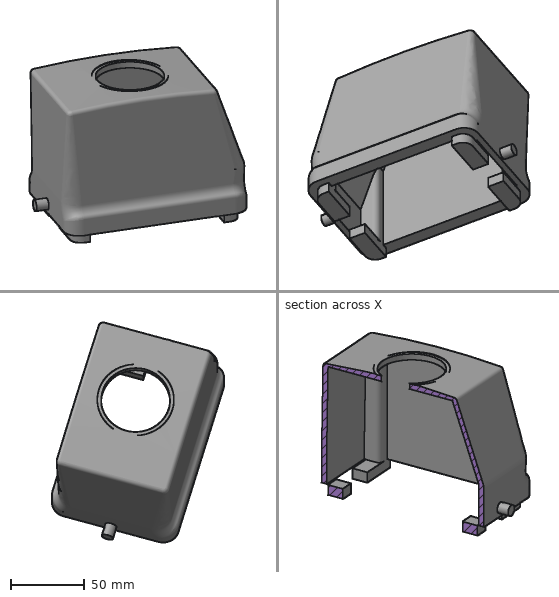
import cadquery as cq
import math

RIM_BOTTOM = 8.0
RIM_BLEND_TOP = 28.2
SLOPE_START = 39.0
APEX = 102.0

RIM_WIDTH = 90.0
BODY_WIDTH = 80.1
RIM_LENGTH = 132.3
FRONT_LEAN = 0.017
BACK_LEAN = 0.37

RIM_CORNER_RADIUS = 11.1
ROOF_CORNER_RADIUS = 2.8

RIM_BLEND_RADIUS = 6.3
RIM_EDGE_RADIUS = 3.0
SLOPE_BLEND_RADIUS = 9.0
ROOF_EDGE_RADIUS = 2.7
DOME_RADIUS = 600.0

ENTRY_Y = -5.8
ENTRY_DIAMETER = 47.1
SEAT_DIAMETER = 52.5
SEAT_DEPTH = 0.51

WALL = 4.5
POST_WIDTH = 8.4
POST_CORNER_RADIUS = 3.9

FEET_LENGTH = 121.5
FEET_WIDTH = 79.2
FOOT_GAP = 20.7
FOOT_DEPTH = 12.2
FOOT_CORNER_RADIUS = 8.1
PIN_DIAMETER = 8.1
PIN_SPAN = 150.0
PIN_HEIGHT = 14.5

PICK_MARGIN = 0.2

BODY_TOP = APEX + 1.5
CAVITY_TOP = APEX - SEAT_DEPTH - WALL
POST_FACE_Y = FEET_LENGTH / 2 - FOOT_DEPTH


def front_y(z):
    """Y of the front wall at height z of the upper body."""
    return -RIM_LENGTH / 2 + FRONT_LEAN * (z - RIM_BLEND_TOP)


def back_y(z):
    """Y of the back wall at height z, upright at first and then sloping."""
    return RIM_LENGTH / 2 - BACK_LEAN * max(z - SLOPE_START, 0)


def corner_radius(z):
    """Radius of the body's vertical corners at height z."""
    rise = (z - RIM_BLEND_TOP) / (APEX - RIM_BLEND_TOP)
    return RIM_CORNER_RADIUS + rise * (ROOF_CORNER_RADIUS - RIM_CORNER_RADIUS)


def rim():
    """Flared rim: hollow blends along both sides that die out around the corners."""
    half = BODY_WIDTH / 2
    centre_x = half + RIM_BLEND_RADIUS
    end_angle = math.acos((centre_x - RIM_WIDTH / 2) / RIM_BLEND_RADIUS)

    def blend_point(angle):
        return (
            centre_x - RIM_BLEND_RADIUS * math.cos(angle),
            RIM_BLEND_TOP - RIM_BLEND_RADIUS * math.sin(angle),
        )

    crease_z = blend_point(end_angle)[1]
    half_profile = (
        cq.Workplane("XZ")
        .moveTo(0, RIM_BLEND_TOP)
        .lineTo(half, RIM_BLEND_TOP)
        .threePointArc(blend_point(end_angle / 2), blend_point(end_angle))
        .lineTo(RIM_WIDTH / 2, RIM_BOTTOM)
        .lineTo(0, RIM_BOTTOM)
        .mirrorY()
    )
    block = half_profile.extrude(RIM_LENGTH / 2, both=True)
    block = block.faces("<Y or >Y").edges("not |X").fillet(RIM_CORNER_RADIUS)
    crease = cq.selectors.BoxSelector(
        (-RIM_WIDTH, -PICK_MARGIN, crease_z - PICK_MARGIN),
        (RIM_WIDTH, PICK_MARGIN, crease_z + PICK_MARGIN),
    )
    return block.edges(crease).fillet(RIM_EDGE_RADIUS)


def body_section(z):
    """Rounded outline of the upper body at height z."""
    length = back_y(z) - front_y(z)
    centre = cq.Vector(0, (front_y(z) + back_y(z)) / 2, z)
    outline = cq.Sketch().rect(BODY_WIDTH, length).vertices().fillet(corner_radius(z))
    return outline.moved(cq.Location(centre))


def body_stage(bottom, top):
    """Part of the upper body between two heights, with straight walls."""
    return cq.Workplane().placeSketch(body_section(bottom), body_section(top)).loft(ruled=True)


def dome():
    """Everything below the domed roof, curved along the length."""
    return (
        cq.Workplane("YZ", origin=(-RIM_WIDTH / 2, ENTRY_Y, APEX - DOME_RADIUS))
        .circle(DOME_RADIUS)
        .extrude(RIM_WIDTH)
    )


def upper_body():
    """Hood above the rim with a softened back bend and roof edge."""
    bent = body_stage(RIM_BLEND_TOP, SLOPE_START).union(body_stage(SLOPE_START, BODY_TOP))
    straight = body_stage(RIM_BLEND_TOP, BODY_TOP)
    front_half = (
        cq.Workplane("XY")
        .box(RIM_WIDTH, RIM_LENGTH, BODY_TOP, centered=(True, False, False))
        .translate((0, -RIM_LENGTH, 0))
    )
    body = bent.cut(front_half).union(straight.intersect(front_half))
    bend = cq.selectors.BoxSelector(
        (-PICK_MARGIN, 0, SLOPE_START - PICK_MARGIN),
        (PICK_MARGIN, RIM_LENGTH, SLOPE_START + PICK_MARGIN),
    )
    body = body.edges(bend).fillet(SLOPE_BLEND_RADIUS)
    body = body.intersect(dome())
    return body.faces(">Z").edges().fillet(ROOF_EDGE_RADIUS)


def cavity():
    """Open-bottomed space inside the walls, less the four corner posts."""
    half_width = BODY_WIDTH / 2 - WALL
    space = (
        cq.Workplane("YZ", origin=(-half_width, 0, 0))
        .moveTo(front_y(RIM_BLEND_TOP) + WALL, RIM_BOTTOM)
        .lineTo(back_y(RIM_BOTTOM) - WALL, RIM_BOTTOM)
        .lineTo(back_y(SLOPE_START) - WALL, SLOPE_START)
        .lineTo(back_y(CAVITY_TOP) - WALL, CAVITY_TOP)
        .lineTo(front_y(CAVITY_TOP) + WALL, CAVITY_TOP)
        .lineTo(front_y(RIM_BLEND_TOP) + WALL, RIM_BLEND_TOP)
        .close()
        .extrude(2 * half_width)
    )
    post_depth = RIM_LENGTH / 2 - POST_FACE_Y
    for x_side in (-1, 1):
        for y_side in (-1, 1):
            centre_x = x_side * (half_width - POST_WIDTH / 2)
            centre_y = y_side * (POST_FACE_Y + post_depth / 2)
            post = (
                cq.Workplane("XY", origin=(centre_x, centre_y, 0))
                .rect(POST_WIDTH, post_depth)
                .extrude(APEX)
                .edges("<X" if x_side > 0 else ">X")
                .edges("<Y" if y_side > 0 else ">Y")
                .fillet(POST_CORNER_RADIUS)
            )
            space = space.cut(post)
    return space


def cable_entry():
    """Round hole through the roof with a flat seat sunk into the dome."""
    seat_height = APEX - SEAT_DEPTH
    hole = cq.Workplane("XY", origin=(0, ENTRY_Y, CAVITY_TOP)).circle(ENTRY_DIAMETER / 2).extrude(2 * WALL)
    seat = cq.Workplane("XY", origin=(0, ENTRY_Y, seat_height)).circle(SEAT_DIAMETER / 2).extrude(WALL)
    return hole.union(seat)


def feet():
    """Four blocks under the rim, each rounded at its outer corner."""
    block = (
        cq.Workplane("XY")
        .rect(FEET_WIDTH, FEET_LENGTH)
        .extrude(RIM_BOTTOM)
        .edges("|Z")
        .fillet(FOOT_CORNER_RADIUS)
    )
    lengthwise_gap = cq.Workplane("XY").rect(FOOT_GAP, FEET_LENGTH).extrude(RIM_BOTTOM)
    crosswise_gap = cq.Workplane("XY").rect(FEET_WIDTH, 2 * POST_FACE_Y).extrude(RIM_BOTTOM)
    return block.cut(lengthwise_gap).cut(crosswise_gap)


def pins():
    """Pivot pins standing out from the two end walls."""
    inner_y = RIM_LENGTH / 2 - WALL / 2
    pin = (
        cq.Workplane("XZ", origin=(0, -inner_y, PIN_HEIGHT))
        .circle(PIN_DIAMETER / 2)
        .extrude(PIN_SPAN / 2 - inner_y)
    )
    return pin.union(pin.mirror("XZ"))


result = (
    rim()
    .union(upper_body())
    .cut(cavity())
    .cut(cable_entry())
    .union(feet())
    .union(pins())
)